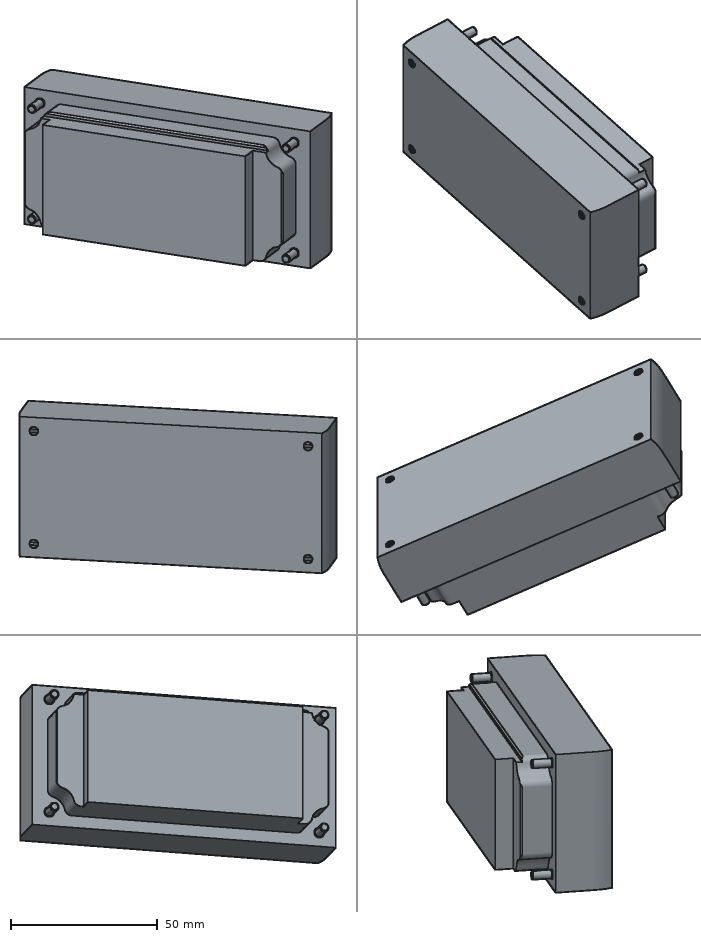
import cadquery as cq

housing_length = 107.3
housing_depth = 20.0
housing_height = 49.7
end_curve_radius = 20.0
end_curve_depth = 6.5

screw_pitch_x = 95.4
screw_pitch_z = 40.0
screw_diameter = 3.0
screw_tip_diameter = 2.4
screw_reach = 7.1
screw_stand_out = 0.2
collar_diameter = 3.4
collar_thickness = 0.3
slot_width = 1.04
slot_depth = 0.5

base_length = 96.6
base_height = 41.3
base_left_depth = 11.7
base_right_depth = 11.2
notch_radius = 5.7
corner_radius = 2.7
end_chamfer_width = 0.3
end_chamfer_depth = 0.6
ledge_depth = 9.1
ledge_drop = 1.6
ledge_chamfer = 0.6
block_depth = 17.5
block_left = -38.7
block_right = 37.2

base_left = -base_length / 2
base_right = base_length / 2

screw_centres = [
    (side_x * screw_pitch_x / 2, side_z * screw_pitch_z / 2)
    for side_x in (-1, 1)
    for side_z in (-1, 1)
]


def box_between(x_min, x_max, y_min, y_max, z_min, z_max):
    """Box given by its limits along each axis."""
    size = (x_max - x_min, y_max - y_min, z_max - z_min)
    return cq.Workplane("XY").box(*size, centered=False).translate((x_min, y_min, z_min))


def cylinder_along_y(centre, diameter, y_min, y_max):
    """Cylinder parallel to Y around an (x, z) centre."""
    x, z = centre
    profile = cq.Workplane("XZ", origin=(x, y_max, z)).circle(diameter / 2)
    return profile.extrude(y_max - y_min)


def make_housing():
    """Block with curved ends and a through hole for each screw."""
    half_length = housing_length / 2
    curve_start = housing_depth - end_curve_depth

    def curve_inset(distance):
        return end_curve_radius - (end_curve_radius**2 - distance**2) ** 0.5

    middle_x = half_length - curve_inset(end_curve_depth / 2)
    middle_y = curve_start + end_curve_depth / 2
    back_x = half_length - curve_inset(end_curve_depth)
    housing = (
        cq.Workplane("XY", origin=(0, 0, -housing_height / 2))
        .moveTo(-half_length, 0)
        .lineTo(half_length, 0)
        .lineTo(half_length, curve_start)
        .threePointArc((middle_x, middle_y), (back_x, housing_depth))
        .lineTo(-back_x, housing_depth)
        .threePointArc((-middle_x, middle_y), (-half_length, curve_start))
        .close()
        .extrude(housing_height)
    )
    for centre in screw_centres:
        housing = housing.cut(cylinder_along_y(centre, screw_diameter, 0, housing_depth))
    return housing


def make_base():
    """Plate with a rounded notch around each screw; its right end is slightly shallower."""
    half_height = base_height / 2
    base = box_between(base_left, base_right, -base_left_depth, 0, -half_height, half_height)
    for centre in screw_centres:
        base = base.cut(cylinder_along_y(centre, 2 * notch_radius, -base_left_depth, 0))
    base = base.edges("|Y").fillet(corner_radius)

    right_relief = box_between(
        block_right, base_right, -base_left_depth, -base_right_depth, -half_height, half_height
    )
    return base.cut(right_relief)


def end_chamfer(outer_x, inner_x, front_depth):
    """Wedge that bevels the front edge of one end of the base."""
    return (
        cq.Workplane("XY", origin=(0, 0, -base_height / 2))
        .moveTo(outer_x, -front_depth)
        .lineTo(outer_x, -front_depth + end_chamfer_depth)
        .lineTo(inner_x, -front_depth)
        .close()
        .extrude(base_height)
    )


def top_ledge():
    """Full-length cutter that steps the top down and bevels the edge of the step."""
    top = base_height / 2
    return (
        cq.Workplane("YZ", origin=(base_left, 0, 0))
        .moveTo(-ledge_depth + ledge_chamfer, top)
        .lineTo(-ledge_depth, top - ledge_chamfer)
        .lineTo(-ledge_depth, top - ledge_drop)
        .lineTo(-block_depth, top - ledge_drop)
        .lineTo(-block_depth, top)
        .close()
        .extrude(base_length)
    )


def make_insert():
    """Notched base and terminal block in one piece."""
    half_height = base_height / 2
    block = box_between(block_left, block_right, -block_depth, 0, -half_height, half_height)
    insert = make_base().union(block)
    insert = insert.cut(end_chamfer(base_left, base_left + end_chamfer_width, base_left_depth))
    insert = insert.cut(end_chamfer(base_right, base_right - end_chamfer_width, base_right_depth))
    return insert.cut(top_ledge())


def make_screw(centre):
    """Straight screw with a bevelled tip, a collar on the housing and a slotted back end."""
    x, z = centre
    back_end = housing_depth + screw_stand_out
    tip_bevel = (screw_diameter - screw_tip_diameter) / 2
    screw = cylinder_along_y(centre, screw_diameter, -screw_reach, back_end)
    screw = screw.faces("<Y").chamfer(tip_bevel)
    screw = screw.union(cylinder_along_y(centre, collar_diameter, -collar_thickness, 0))
    slot = box_between(
        x - screw_diameter / 2,
        x + screw_diameter / 2,
        back_end - slot_depth,
        back_end,
        z - slot_width / 2,
        z + slot_width / 2,
    )
    return screw.cut(slot)


housing = make_housing()
insert = make_insert()
screws = [make_screw(centre) for centre in screw_centres]

result = cq.Compound.makeCompound(
    [housing.val(), insert.val(), *[screw.val() for screw in screws]]
)